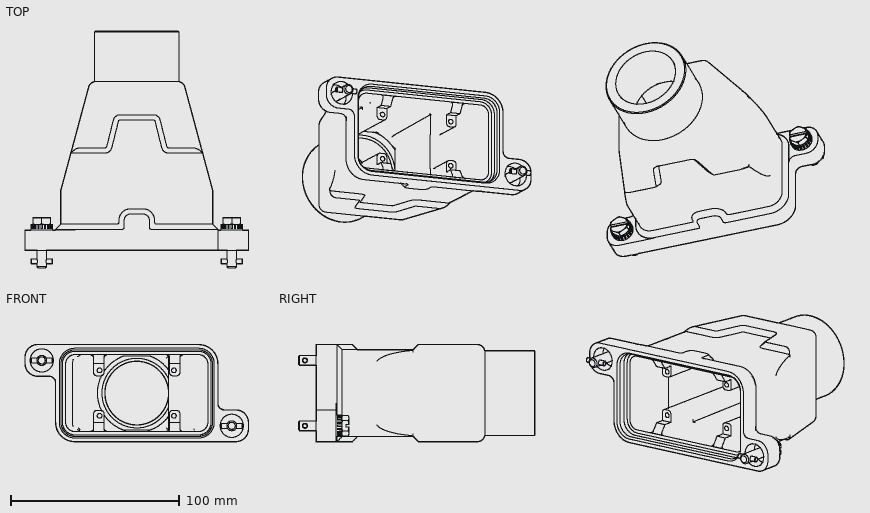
import cadquery as cq
import math


FLANGE_HALF_X = 48.3
FLANGE_HEIGHT = 58.0
FLANGE_HALF_Z = FLANGE_HEIGHT / 2
FLANGE_CORNER = 11.5
FLANGE_DEPTH = 12.4
LUG_DEPTH = 12.0
LUG_END_X = 66.5
LUG_HEIGHT = 19.0
LUG_CORNER = 7.6
LUG_ROOT_FILLET = 3.8
LUG_RECESS_RADIUS = 6.9
LUG_WEB = 2.8

BODY_INSET = 3.1
TAPER_START_Y = 35.7
BODY_END_Y = 100.5
BODY_END_HALF_X = 27.8
CROWN_START_Y = 57.8
CROWN_FILLET = 4.7

WINDOW_TOP_Y = 77.5
WINDOW_TOP_HALF_X = 10.7
WINDOW_BASE_HALF_X = 15.6
WINDOW_OUTER_FILLET = 1.0
WINDOW_INNER_FILLET = 4.5
WALL_SLOPE = 45.0

TAB_HALF_X = 10.6
TAB_END_Y = 24.7
TAB_CORNER = 6.8
TAB_ROOT_FILLET = 2.1

NECK_RADIUS = 25.2
NECK_END_Y = 130.4
NECK_END_CHAMFER = 0.5
BORE_RADIUS = 18.9
RELIEF_RADIUS = 22.1
RELIEF_INNER_RADIUS = 20.7
RELIEF_DEPTH = 2.8
RELIEF_ENTRY_RADIUS = 23.4

LIP_INSET = 2.3
SEAL_INSET = 3.2
SEAL_FOOT_INSET = 4.1
LIP_CHAMFER_Y = 1.7
SEAL_WALL_Y = 5.6
LEDGE_Y = 7.8
CAVITY_INSET = 6.0
CAVITY_FLOOR_Y = 40.9
CAVITY_FLOOR_HALF_X = 38.3
CAVITY_FLOOR_CORNER = 4.2
CAVITY_FLOOR_FILLET = 1.3
CHAMBER_FLOOR_Y = 94.5
CHAMBER_FLOOR_LEFT_X = -25.0
CHAMBER_FLOOR_HALF_Z = 22.0
CHAMBER_FLOOR_FILLET = 1.4

POST_X = 22.5
POST_HALF_WIDTH = 3.1
POST_FACE_Y = 17.9
POST_STEP_Y = 12.1
POST_TIP_Z = 10.3
POST_STEP_Z = 17.5
POST_ROOT_Z = 23.4
POST_CORNER = 2.0
POST_ROOT_FILLET = 1.5
POST_HOLE_X = 22.1
POST_HOLE_Z = 13.5
POST_HOLE_RADIUS = 1.4
POST_HOLE_DEPTH = 9.9

SCREW_X = 56.5
SCREW_Z = FLANGE_HALF_Z - LUG_HEIGHT / 2
SHAFT_RADIUS = 3.0
SHAFT_TIP_Y = -10.6
SHAFT_TIP_CHAMFER = 0.8
CROSS_PIN_DIAMETER = 3.0
CROSS_PIN_LENGTH = 13.0
CROSS_PIN_Y = -6.6
CROSS_PIN_CHAMFER = 0.3
WASHER_RADIUS = 6.5
WASHER_BASE = 0.8
WASHER_END_Y = 15.4
TOOTH_COUNT = 20
TOOTH_GAP = 0.7
TOOTH_DEPTH = 0.7
HEAD_ACROSS_FLATS = 10.5
HEX_HALF_SECTOR = 30
HEAD_END_Y = 19.5
HEAD_CHAMFER_HEIGHT = 0.35
HEAD_CHAMFER_WIDTH = 0.7
SLOT_WIDTH = 1.7
SLOT_DEPTH = 1.7

QUADRANTS = [(-1, -1), (-1, 1), (1, -1), (1, 1)]

BODY_HALF_X = FLANGE_HALF_X - BODY_INSET
BODY_HALF_Z = FLANGE_HALF_Z - BODY_INSET
TAPER = (BODY_HALF_X - BODY_END_HALF_X) / (BODY_END_Y - TAPER_START_Y)


def facing_plane(y):
    """Workplane in X and Z at height y; a negative extrusion runs toward +Y."""
    return cq.Workplane("XZ", origin=(0, y, 0))


def rod(radius, start_y, end_y):
    return facing_plane(start_y).circle(radius).extrude(start_y - end_y)


def flange_outline(inset):
    """Rounded rectangle set in evenly from the flange outline."""
    width = 2 * (FLANGE_HALF_X - inset)
    height = 2 * (FLANGE_HALF_Z - inset)
    return cq.Sketch().rect(width, height).vertices().fillet(FLANGE_CORNER - inset)


def loft_between(start_sketch, start_y, end_sketch, end_y):
    moved_end = end_sketch.moved(cq.Location(cq.Vector(0, 0, start_y - end_y)))
    return facing_plane(start_y).placeSketch(start_sketch, moved_end).loft(ruled=True)


def half_turn(solid):
    """Copy turned by 180 degrees about the Y axis."""
    return solid.rotate((0, 0, 0), (0, 1, 0), 180)


def flange():
    plate = facing_plane(0).placeSketch(flange_outline(0)).extrude(-FLANGE_DEPTH)
    lug = (
        facing_plane(0)
        .center(-LUG_END_X / 2, SCREW_Z)
        .rect(LUG_END_X, LUG_HEIGHT)
        .extrude(-LUG_DEPTH)
        .edges("|Y and <X").fillet(LUG_CORNER)
    )
    lug_plate = facing_plane(0).placeSketch(flange_outline(0)).extrude(-LUG_DEPTH)
    lug_plate = lug_plate.union(lug).union(half_turn(lug))
    root_z = FLANGE_HALF_Z - LUG_HEIGHT
    for side in (-1, 1):
        root = (side * FLANGE_HALF_X, LUG_DEPTH / 2, -side * root_z)
        lug_plate = lug_plate.edges(cq.NearestToPointSelector(root)).fillet(LUG_ROOT_FILLET)
    return plate.union(lug_plate)


def lower_body():
    """Skirt and round-cornered body, narrowed by the two tapered side faces."""
    skirt_end = FLANGE_DEPTH + BODY_INSET
    skirt = loft_between(flange_outline(0), FLANGE_DEPTH, flange_outline(BODY_INSET), skirt_end)
    body = facing_plane(FLANGE_DEPTH).placeSketch(flange_outline(BODY_INSET))
    body = body.extrude(FLANGE_DEPTH - CROWN_START_Y)
    taper_envelope = (
        cq.Workplane("XY")
        .polyline([
            (-BODY_HALF_X, 0),
            (BODY_HALF_X, 0),
            (BODY_HALF_X, TAPER_START_Y),
            (BODY_END_HALF_X, BODY_END_Y),
            (-BODY_END_HALF_X, BODY_END_Y),
            (-BODY_HALF_X, TAPER_START_Y),
        ])
        .close()
        .extrude(FLANGE_HALF_Z, both=True)
    )
    return body.intersect(taper_envelope).union(skirt)


def window_pocket():
    """Pocket above the +Z face of the lower body, widening outward."""
    reach_x = 2 * FLANGE_HALF_X
    outline = cq.Sketch().polygon([
        (-reach_x, 0),
        (reach_x, 0),
        (reach_x, CROWN_START_Y),
        (WINDOW_BASE_HALF_X, CROWN_START_Y),
        (WINDOW_TOP_HALF_X, WINDOW_TOP_Y),
        (-WINDOW_TOP_HALF_X, WINDOW_TOP_Y),
        (-WINDOW_BASE_HALF_X, CROWN_START_Y),
        (-reach_x, CROWN_START_Y),
        (-reach_x, 0),
    ])
    outline = outline.vertices(">Y").fillet(WINDOW_OUTER_FILLET).reset()
    for side in (-1, 1):
        corner = cq.NearestToPointSelector((side * WINDOW_BASE_HALF_X, CROWN_START_Y, 0))
        outline = outline.vertices(corner).fillet(WINDOW_INNER_FILLET).reset()
    base = cq.Workplane("XY", origin=(0, 0, BODY_HALF_Z))
    return base.placeSketch(outline).extrude(BODY_INSET, taper=-WALL_SLOPE)


def crown():
    """Thicker tapered end of the body, filleted all round except at its start."""
    start_half_x = BODY_HALF_X - TAPER * (CROWN_START_Y - TAPER_START_Y)
    block = (
        cq.Workplane("XY")
        .polyline([
            (-start_half_x, CROWN_START_Y),
            (start_half_x, CROWN_START_Y),
            (BODY_END_HALF_X, BODY_END_Y),
            (-BODY_END_HALF_X, BODY_END_Y),
        ])
        .close()
        .extrude(FLANGE_HALF_Z, both=True)
    )
    block = block.edges("not <Y").fillet(CROWN_FILLET)
    pocket = window_pocket()
    return block.cut(pocket).cut(half_turn(pocket))


def tab():
    """Raised arched tab on the +Z face, with sloped walls."""
    outline = (
        cq.Sketch()
        .push([(0, TAB_END_Y / 2)])
        .rect(2 * TAB_HALF_X, TAB_END_Y)
        .reset()
        .vertices(">Y")
        .fillet(TAB_CORNER)
    )
    base = cq.Workplane("XY", origin=(0, 0, BODY_HALF_Z))
    return base.placeSketch(outline).extrude(BODY_INSET, taper=WALL_SLOPE)


def fillet_tab_roots(hood):
    """Round the four corners where the sloped tab walls meet the skirt."""
    root_y = FLANGE_DEPTH + BODY_INSET / 2
    root_x = TAB_HALF_X - BODY_INSET / 2
    root_z = FLANGE_HALF_Z - BODY_INSET / 2
    for side_x, side_z in QUADRANTS:
        root = (side_x * root_x, root_y, side_z * root_z)
        hood = hood.edges(cq.NearestToPointSelector(root)).fillet(TAB_ROOT_FILLET)
    return hood


def neck():
    barrel = rod(NECK_RADIUS, CHAMBER_FLOOR_Y, NECK_END_Y)
    return barrel.faces(">Y").chamfer(NECK_END_CHAMFER)


def seal_recess():
    """Stepped recess behind the rim, down to the ledge."""
    steps = [
        (LIP_INSET, 0),
        (SEAL_INSET, LIP_CHAMFER_Y),
        (SEAL_INSET, SEAL_WALL_Y),
        (SEAL_FOOT_INSET, LEDGE_Y),
    ]
    recess = cq.Workplane("XY")
    for (inset, y), (next_inset, next_y) in zip(steps, steps[1:]):
        recess = recess.union(loft_between(flange_outline(inset), y, flange_outline(next_inset), next_y))
    return recess


def cavity_half_z(y):
    """Half height of the interior, which narrows evenly from the ledge to the chamber floor."""
    ledge_half_z = FLANGE_HALF_Z - CAVITY_INSET
    depth_ratio = (y - LEDGE_Y) / (CHAMBER_FLOOR_Y - LEDGE_Y)
    return ledge_half_z + depth_ratio * (CHAMBER_FLOOR_HALF_Z - ledge_half_z)


def post(side_x, side_z):
    """Post along a broad wall, stepped and ramped at the front, before drilling."""
    profile = [
        (POST_FACE_Y, side_z * POST_TIP_Z),
        (POST_FACE_Y, side_z * POST_STEP_Z),
        (POST_STEP_Y, side_z * POST_STEP_Z),
        (LEDGE_Y, side_z * POST_ROOT_Z),
        (CHAMBER_FLOOR_Y, side_z * POST_ROOT_Z),
        (CHAMBER_FLOOR_Y, side_z * POST_TIP_Z),
    ]
    tip_edges = "|Y and <Z" if side_z > 0 else "|Y and >Z"
    return (
        cq.Workplane("YZ", origin=(side_x * POST_X, 0, 0))
        .polyline(profile)
        .close()
        .extrude(POST_HALF_WIDTH, both=True)
        .edges(tip_edges).fillet(POST_CORNER)
    )


def post_hole(side_x, side_z):
    hole = rod(POST_HOLE_RADIUS, POST_FACE_Y, POST_FACE_Y + POST_HOLE_DEPTH)
    return hole.translate((side_x * POST_HOLE_X, 0, side_z * POST_HOLE_Z))


def cut_rooted_post(space, side_x, side_z):
    """Leave a post standing in the main cavity, with both its wall roots filleted."""
    space = space.cut(post(side_x, side_z))
    middle_y = (LEDGE_Y + CAVITY_FLOOR_Y) / 2
    for edge_offset in (-POST_HALF_WIDTH, POST_HALF_WIDTH):
        root = (side_x * POST_X + edge_offset, middle_y, side_z * cavity_half_z(middle_y))
        space = space.edges(cq.NearestToPointSelector(root)).fillet(POST_ROOT_FILLET)
    return space


def main_cavity():
    floor = (
        cq.Sketch()
        .rect(2 * CAVITY_FLOOR_HALF_X, 2 * cavity_half_z(CAVITY_FLOOR_Y))
        .vertices()
        .fillet(CAVITY_FLOOR_CORNER)
    )
    cavity = loft_between(flange_outline(CAVITY_INSET), LEDGE_Y, floor, CAVITY_FLOOR_Y)
    for side_x, side_z in QUADRANTS:
        cavity = cut_rooted_post(cavity, side_x, side_z)
    return cavity.faces(">Y").edges().fillet(CAVITY_FLOOR_FILLET)


def chamber_section(left_x, half_z):
    """Section of the rear chamber, whose +X wall is tangent to the bore."""
    return (
        cq.Sketch()
        .push([((left_x + BORE_RADIUS) / 2, 0)])
        .rect(BORE_RADIUS - left_x, 2 * half_z)
        .reset()
        .vertices("<X")
        .fillet(CAVITY_FLOOR_CORNER)
    )


def rear_chamber():
    start_y = CAVITY_FLOOR_Y - CAVITY_FLOOR_FILLET
    start = chamber_section(-CAVITY_FLOOR_HALF_X, cavity_half_z(start_y))
    end = chamber_section(CHAMBER_FLOOR_LEFT_X, CHAMBER_FLOOR_HALF_Z)
    chamber = loft_between(start, start_y, end, CHAMBER_FLOOR_Y)
    chamber = chamber.faces(">Y").edges().fillet(CHAMBER_FLOOR_FILLET)
    for side_x, side_z in QUADRANTS:
        chamber = chamber.cut(post(side_x, side_z))
    return chamber


def neck_bore():
    """Through bore with a conical relief at its inner end."""
    return (
        cq.Workplane("XY")
        .polyline([
            (0, CHAMBER_FLOOR_Y - CHAMBER_FLOOR_FILLET),
            (RELIEF_ENTRY_RADIUS, CHAMBER_FLOOR_Y - CHAMBER_FLOOR_FILLET),
            (RELIEF_ENTRY_RADIUS, CHAMBER_FLOOR_Y),
            (RELIEF_RADIUS, CHAMBER_FLOOR_Y + RELIEF_ENTRY_RADIUS - RELIEF_RADIUS),
            (RELIEF_INNER_RADIUS, CHAMBER_FLOOR_Y + RELIEF_DEPTH),
            (BORE_RADIUS, CHAMBER_FLOOR_Y + RELIEF_DEPTH),
            (BORE_RADIUS, NECK_END_Y),
            (0, NECK_END_Y),
        ])
        .close()
        .revolve(360, (0, 0, 0), (0, 1, 0))
    )


def screw_seat():
    """Recess and clearance bore of the -X lug."""
    recess = rod(LUG_RECESS_RADIUS, 0, LUG_DEPTH - LUG_WEB)
    shaft_hole = rod(SHAFT_RADIUS, 0, LUG_DEPTH)
    return recess.union(shaft_hole).translate((-SCREW_X, 0, SCREW_Z))


def make_hood():
    raised_tab = tab()
    hood = flange().union(lower_body()).union(crown()).union(neck())
    hood = hood.union(raised_tab).union(half_turn(raised_tab))
    hood = fillet_tab_roots(hood)
    hood = hood.cut(seal_recess()).cut(main_cavity()).cut(rear_chamber())
    for side_x, side_z in QUADRANTS:
        hood = hood.cut(post_hole(side_x, side_z))
    seat = screw_seat()
    return hood.cut(neck_bore()).cut(seat).cut(half_turn(seat))


def screw_shaft():
    shaft = rod(SHAFT_RADIUS, SHAFT_TIP_Y, WASHER_END_Y)
    shaft = shaft.faces("<Y").chamfer(SHAFT_TIP_CHAMFER)
    cross_pin = (
        cq.Workplane("YZ")
        .center(CROSS_PIN_Y, 0)
        .circle(CROSS_PIN_DIAMETER / 2)
        .extrude(CROSS_PIN_LENGTH / 2, both=True)
        .faces("<X or >X").chamfer(CROSS_PIN_CHAMFER)
    )
    return shaft.union(cross_pin)


def toothed_washer():
    teeth_start = LUG_DEPTH + WASHER_BASE
    washer = rod(WASHER_RADIUS, LUG_DEPTH, WASHER_END_Y)
    gaps = (
        facing_plane(teeth_start)
        .polarArray(WASHER_RADIUS, 0, 360, TOOTH_COUNT)
        .rect(2 * TOOTH_DEPTH, TOOTH_GAP)
        .extrude(teeth_start - WASHER_END_Y)
    )
    return washer.cut(gaps)


def hex_head():
    """Slotted hexagon with two corners on the Z axis and its corners turned down."""
    across_corners = HEAD_ACROSS_FLATS / math.cos(math.radians(HEX_HALF_SECTOR))
    length = HEAD_END_Y - WASHER_END_Y
    hexagon = facing_plane(WASHER_END_Y).polygon(6, across_corners).extrude(-length)
    hexagon = hexagon.rotate((0, 0, 0), (0, 1, 0), HEX_HALF_SECTOR)
    turned = rod(across_corners / 2, WASHER_END_Y, HEAD_END_Y)
    turned = turned.faces("<Y or >Y").edges().chamfer(HEAD_CHAMFER_HEIGHT, HEAD_CHAMFER_WIDTH)
    slot = cq.Workplane("XY").box(across_corners, 2 * SLOT_DEPTH, SLOT_WIDTH)
    return hexagon.intersect(turned).cut(slot.translate((0, HEAD_END_Y, 0)))


def make_screw(side):
    screw = screw_shaft().union(toothed_washer()).union(hex_head())
    return screw.translate((side * SCREW_X, 0, -side * SCREW_Z))


hood = make_hood()
screws = [make_screw(side) for side in (-1, 1)]
result = cq.Compound.makeCompound([hood.val(), *[screw.val() for screw in screws]])